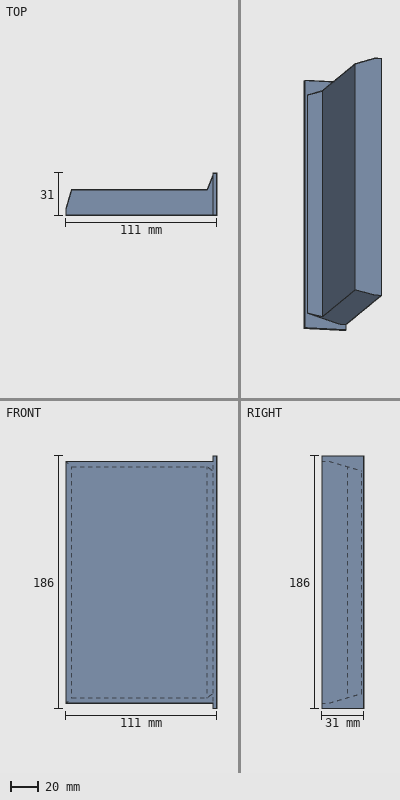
import cadquery as cq

LENGTH = 111.0
DEPTH = 31.0
HEIGHT = 186.0

PLATE_THICKNESS = 3.0
PLATE_OVERHANG = 3.9

RIM_DEPTH = 5.0
BODY_DEPTH = 19.0
TAPER_INSET = 4.0

WEB_LENGTH = 4.0
WEB_RISE = 10.5

BODY_LENGTH = LENGTH - PLATE_THICKNESS
HALF_BODY_HEIGHT = HEIGHT / 2 - PLATE_OVERHANG
WEB_TOP = BODY_DEPTH + WEB_RISE
TAPER_SLOPE = TAPER_INSET / (BODY_DEPTH - RIM_DEPTH)


def make_side_profile():
    """Body and web outline in the XY plane, extruded along the full height."""
    outline = [
        (0, 0),
        (BODY_LENGTH, 0),
        (BODY_LENGTH, WEB_TOP),
        (BODY_LENGTH - WEB_LENGTH, BODY_DEPTH),
        (TAPER_INSET, BODY_DEPTH),
        (0, RIM_DEPTH),
    ]
    return cq.Workplane("XY").polyline(outline).close().extrude(HEIGHT / 2, both=True)


def make_end_profile():
    """Tapered outline in the YZ plane, extruded along the body length."""
    half_top = HALF_BODY_HEIGHT - TAPER_SLOPE * (WEB_TOP - RIM_DEPTH)
    outline = [
        (0, -HALF_BODY_HEIGHT),
        (RIM_DEPTH, -HALF_BODY_HEIGHT),
        (WEB_TOP, -half_top),
        (WEB_TOP, half_top),
        (RIM_DEPTH, HALF_BODY_HEIGHT),
        (0, HALF_BODY_HEIGHT),
    ]
    return cq.Workplane("YZ").polyline(outline).close().extrude(BODY_LENGTH)


def make_end_plate():
    """Flat plate closing the +X end of the body."""
    plate = cq.Workplane("XY").box(PLATE_THICKNESS, DEPTH, HEIGHT, centered=(False, False, True))
    return plate.translate((BODY_LENGTH, 0, 0))


body = make_side_profile().intersect(make_end_profile())
result = body.union(make_end_plate())